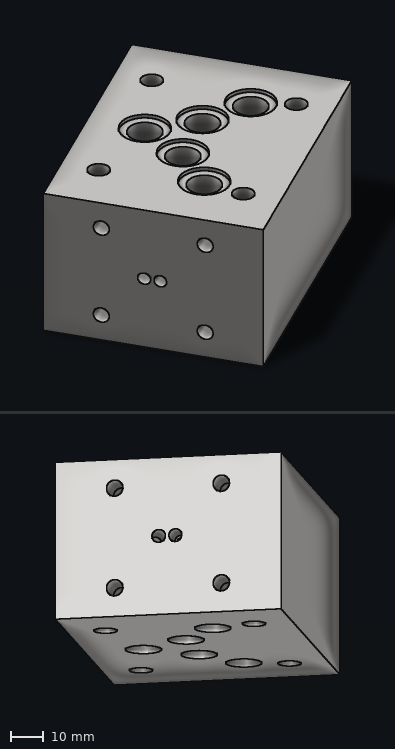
import cadquery as cq
import math

width = 70.0
length = 90
height = 49.0
top_z = height / 2
front_y = -length / 2

port_diameter = 11.0
recess_diameter = 16.0
recess_depth = 1.3
left_port = (-16.7, 0)
middle_port_x = -1.5
middle_port_y = 10.0
right_port_x = 9.5
right_port_y = 23.7

mounting_diameter = 7.0
mounting_spacing_x = 46.0
mounting_spacing_y = 54

drilled_diameter = 5.0
drilled_depth = 10.8
drilled_spacing_x = 33.0
drilled_spacing_z = 31.05
drill_point_angle = 118

passage_diameter = 4.0
stepped_passage_x = 2.25
stepped_passage_depth = 9
orifice_diameter = 2.3
slanted_passage_x = -2.9
slanted_passage_depth = 9.9


def front_cylinder(x, z, diameter, depth):
    """Cylinder running from the front face into the block."""
    start = cq.Vector(x, front_y, z)
    return cq.Workplane(cq.Solid.makeCylinder(diameter / 2, depth, start, cq.Vector(0, 1, 0)))


def drilled_hole(x, z):
    """Blind hole with a conical drill point."""
    radius = drilled_diameter / 2
    point_length = radius / math.tan(math.radians(drill_point_angle / 2))
    point_start = cq.Vector(x, front_y + drilled_depth, z)
    point = cq.Solid.makeCone(radius, 0, point_length, point_start, cq.Vector(0, 1, 0))
    return front_cylinder(x, z, drilled_diameter, drilled_depth).union(cq.Workplane(point))


def slanted_passage():
    """Blind bore heading from the front face towards the left port."""
    entry = cq.Vector(slanted_passage_x, front_y, 0)
    direction = (cq.Vector(*left_port, 0) - entry).normalized()
    overrun = passage_diameter
    start = entry - direction * overrun
    bore_length = slanted_passage_depth / direction.y + overrun
    return cq.Workplane(cq.Solid.makeCylinder(passage_diameter / 2, bore_length, start, direction))


result = cq.Workplane("XY").box(width, length, height)
top_plane = cq.Workplane("XY", origin=(0, 0, top_z))

ports = [left_port]
for side in (-1, 1):
    ports.append((middle_port_x, side * middle_port_y))
    ports.append((right_port_x, side * right_port_y))
result = result.cut(top_plane.pushPoints(ports).circle(port_diameter / 2).extrude(-height))
result = result.cut(top_plane.pushPoints(ports).circle(recess_diameter / 2).extrude(-recess_depth))

mounting_holes = (
    top_plane.rarray(mounting_spacing_x, mounting_spacing_y, 2, 2)
    .circle(mounting_diameter / 2)
    .extrude(-height)
)
result = result.cut(mounting_holes)

for side_x in (-1, 1):
    for side_z in (-1, 1):
        hole = drilled_hole(side_x * drilled_spacing_x / 2, side_z * drilled_spacing_z / 2)
        result = result.cut(hole)

orifice_depth = -middle_port_y - front_y
result = result.cut(front_cylinder(stepped_passage_x, 0, passage_diameter, stepped_passage_depth))
result = result.cut(front_cylinder(stepped_passage_x, 0, orifice_diameter, orifice_depth))

result = result.cut(slanted_passage())